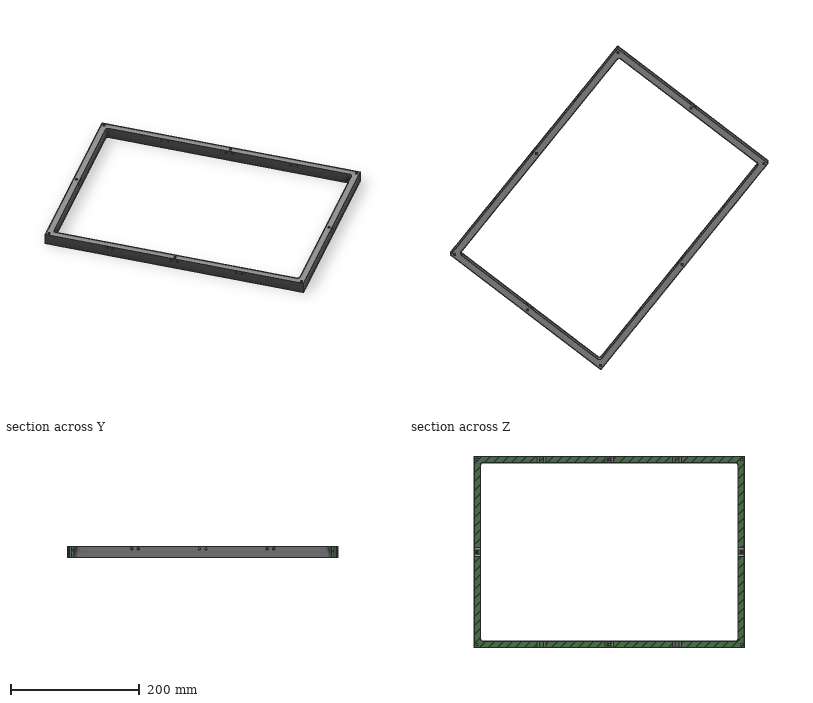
import cadquery as cq

length = 420.0
width = 297.0
height = 17.5
wall = 10.0
inner_corner_radius = 4.0

hole_diameter = 3.1
hole_inset = 4.5
hole_x = length / 2 - hole_inset
hole_y = width / 2 - hole_inset

pair_spacing = 10.0
side_hole_depth = 4.05
side_hole_z = height - side_hole_depth
pair_offset_x = length / 4


def make_frame():
    """Rectangular frame resting on Z = 0, with rounded inner corners."""
    outer = cq.Workplane("XY").box(length, width, height, centered=(True, True, False))
    opening = (
        cq.Workplane("XY")
        .box(length - 2 * wall, width - 2 * wall, height, centered=(True, True, False))
        .edges("|Z")
        .fillet(inner_corner_radius)
    )
    return outer.cut(opening)


def vertical_holes(points):
    """Drills through the full height at the given XY points."""
    return cq.Workplane("XY").pushPoints(points).circle(hole_diameter / 2).extrude(height)


def paired_holes(plane, pair_centres, span):
    """Drills across the whole frame, two for each pair centre."""
    points = [
        (centre + side * pair_spacing / 2, side_hole_z)
        for centre in pair_centres
        for side in (-1, 1)
    ]
    return (
        cq.Workplane(plane)
        .pushPoints(points)
        .circle(hole_diameter / 2)
        .extrude(span / 2, both=True)
    )


corner_points = [(x, y) for x in (-hole_x, hole_x) for y in (-hole_y, hole_y)]
middle_points = [(-hole_x, 0), (hole_x, 0), (0, -hole_y), (0, hole_y)]

result = (
    make_frame()
    .cut(vertical_holes(corner_points + middle_points))
    .cut(paired_holes("XZ", (-pair_offset_x, 0, pair_offset_x), width))
    .cut(paired_holes("YZ", (0,), length))
)